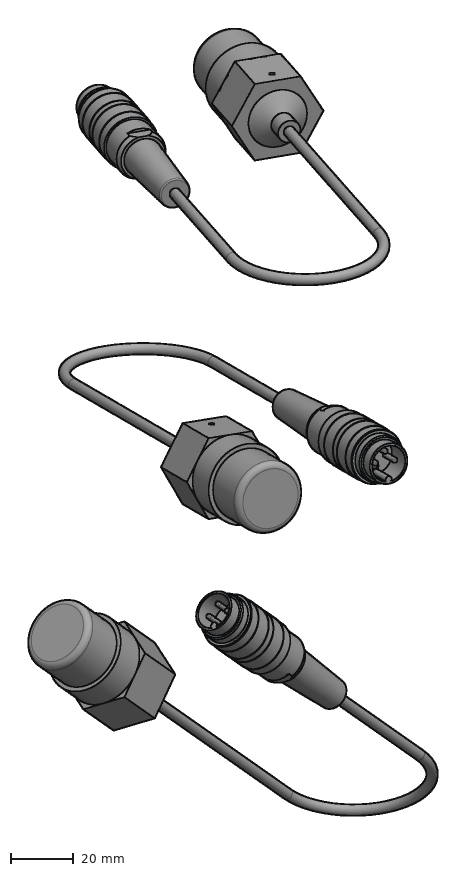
import cadquery as cq
import math

overall_length = 161.0
axis_spacing = 50.0
cable_diameter = 3.7

sensor_nose_diameter = 24.0
sensor_nose_end = 16.3
sensor_face_fillet = 2.1
collar_diameter = 27.0
hex_start = 27.2
hex_end = 44.9
hex_across_flats = 27.0
cone_base_diameter = 20.0
cone_end = 49.0
gland_diameter = 7.5
gland_end = 55.0
vent_hole_diameter = 1.8
vent_hole_depth = 2.0
vent_hole_x = 39.9

plug_start = 14.3
plug_nose_diameter = 13.5
ring_start = 18.7
ring_diameter = 16.0
grip_start = 22.0
grip_diameter = 18.2
grip_end = 44.9
ring_chamfer = 0.5
grip_bevel_length = 0.5
grip_bevel_depth = 0.2
band_diameter = 18.5
band_length = 6.0
band_starts = (26.2, 35.0)
sleeve_diameter = 16.7
sleeve_taper_start = 54.0
sleeve_end = 56.0
sleeve_end_diameter = 15.1
flat_start = 52.1
flat_separation = 14.8
socket_diameter = 11.9
socket_depth = 9.0
key_diameter = 2.3
key_axis_radius = 5.3

pin_tip_fillet = 0.4
long_pin_count = 3
pin_diameter = 1.8
pin_circle_diameter = 7.0
long_pin_recess = 2.0
pin_well_diameter = 2.3
pin_well_depth = 3.2

boot_start_diameter = 13.0
boot_end_diameter = 10.3
boot_end = 84.0
boot_fillet = 0.5

hex_across_corners = hex_across_flats / math.cos(math.pi / 6)
socket_floor = plug_start + socket_depth
pin_well_floor = socket_floor + pin_well_depth
bend_radius = axis_spacing / 2
bend_center_x = overall_length - bend_radius - cable_diameter / 2


def cylinder_x(diameter, start, end, y=0.0, z=0.0):
    """Round bar parallel to X between two stations."""
    return cq.Workplane("YZ", origin=(start, y, z)).circle(diameter / 2).extrude(end - start)


def cone_x(start_diameter, end_diameter, start, end, y=0.0):
    """Truncated cone parallel to X between two stations."""
    profile = [(start, 0), (start, start_diameter / 2), (end, end_diameter / 2), (end, 0)]
    solid = cq.Workplane("XY").polyline(profile).close().revolve(360, (0, 0, 0), (1, 0, 0))
    return solid.translate((0, y, 0))


def make_sensor_housing():
    nose = cylinder_x(sensor_nose_diameter, 0, sensor_nose_end).faces("<X").edges().fillet(sensor_face_fillet)
    collar = cylinder_x(collar_diameter, sensor_nose_end, hex_start)
    hexagon = (
        cq.Workplane("YZ", origin=(hex_start, 0, 0))
        .polygon(6, hex_across_corners)
        .extrude(hex_end - hex_start)
    )
    cone = cone_x(cone_base_diameter, gland_diameter, hex_end, cone_end)
    gland = cylinder_x(gland_diameter, cone_end, gland_end)
    vent_hole = (
        cq.Workplane("XY", origin=(vent_hole_x, 0, hex_across_flats / 2))
        .circle(vent_hole_diameter / 2)
        .extrude(-vent_hole_depth)
    )
    return nose.union(collar).union(hexagon).union(cone).union(gland).cut(vent_hole)


def make_sleeve():
    """Rear sleeve with a tapered end and wrench flats above and below."""
    sleeve = cylinder_x(sleeve_diameter, grip_end, sleeve_taper_start)
    sleeve = sleeve.union(cone_x(sleeve_diameter, sleeve_end_diameter, sleeve_taper_start, sleeve_end))
    for side in (1, -1):
        outside_flat = cq.Workplane("XY").box(
            sleeve_end - flat_start, sleeve_diameter, sleeve_diameter, centered=(False, True, True)
        )
        offset = side * (flat_separation + sleeve_diameter) / 2
        sleeve = sleeve.cut(outside_flat.translate((flat_start, 0, offset)))
    return sleeve


def make_plug():
    """Plug shell, built on the X axis and then moved to its own axis."""
    nose = cylinder_x(plug_nose_diameter, plug_start, ring_start)
    ring = cylinder_x(ring_diameter, ring_start, grip_start).faces("<X").edges().chamfer(ring_chamfer)
    bevel_end = grip_start + grip_bevel_length
    grip = cone_x(grip_diameter - 2 * grip_bevel_depth, grip_diameter, grip_start, bevel_end)
    grip = grip.union(cylinder_x(grip_diameter, bevel_end, grip_end))
    for start in band_starts:
        grip = grip.union(cylinder_x(band_diameter, start, start + band_length))
    plug = nose.union(ring).union(grip).union(make_sleeve())

    socket = cylinder_x(socket_diameter, plug_start, socket_floor)
    key = cylinder_x(key_diameter, plug_start, socket_floor, z=-key_axis_radius)
    plug = plug.cut(socket.cut(key))
    pin_well = cylinder_x(pin_well_diameter, socket_floor, pin_well_floor, z=-pin_circle_diameter / 2)
    plug = plug.cut(pin_well)
    return plug.translate((0, -axis_spacing, 0))


def make_pin(angle, tip, base):
    """Contact pin with a rounded tip, at an angle around the plug axis measured from +Y."""
    radius = pin_circle_diameter / 2
    y = radius * math.cos(angle) - axis_spacing
    z = radius * math.sin(angle)
    return cylinder_x(pin_diameter, tip, base, y, z).faces("<X").edges().fillet(pin_tip_fillet)


def make_boot():
    boot = cone_x(boot_start_diameter, boot_end_diameter, sleeve_end, boot_end, -axis_spacing)
    return boot.faces(">X").edges().fillet(boot_fillet)


def make_cable():
    path = (
        cq.Workplane("XY")
        .moveTo(gland_end, 0)
        .lineTo(bend_center_x, 0)
        .threePointArc((bend_center_x + bend_radius, -bend_radius), (bend_center_x, -axis_spacing))
        .lineTo(boot_end, -axis_spacing)
    )
    return cq.Workplane("YZ", origin=(gland_end, 0, 0)).circle(cable_diameter / 2).sweep(path)


sensor_housing = make_sensor_housing()
plug = make_plug()
boot = make_boot()
cable = make_cable()

quarter_turn = math.pi / 2
long_pin_tip = plug_start + long_pin_recess
pins = [make_pin(index * quarter_turn, long_pin_tip, socket_floor) for index in range(long_pin_count)]
pins.append(make_pin(-quarter_turn, socket_floor, pin_well_floor))

result = cq.Compound.makeCompound(
    [sensor_housing.val(), plug.val(), boot.val(), cable.val(), *[pin.val() for pin in pins]]
)